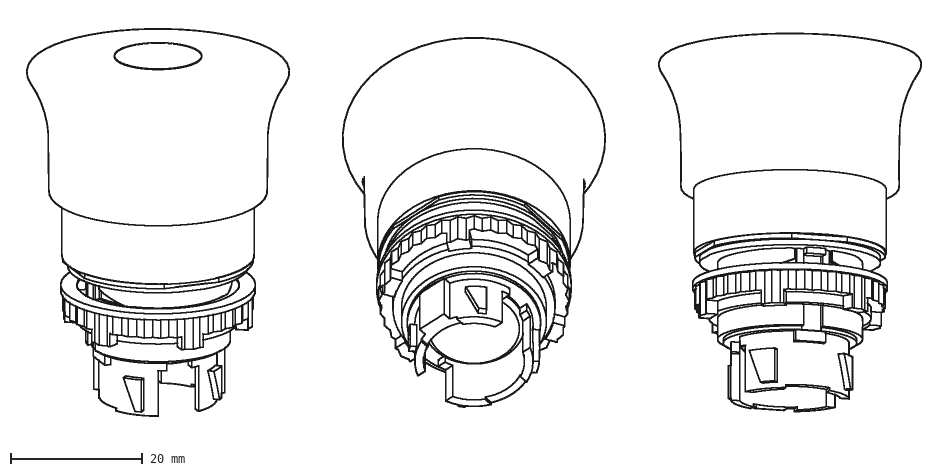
import cadquery as cq
import math


COLLAR_BOTTOM = 8.8
COLLAR_TOP = 9.35
PAD_BOTTOM = 12.05
HUB_BOTTOM = 12.55
TEETH_BOTTOM = 14.15
RIM_BOTTOM = 17.2
HUB_TOP = 17.9
RIM_TOP = 18.15
NECK_TOP = 21.2
GASKET_TOP = 22.05
FLANGE_TOP = 22.8
CAP_BOTTOM = 32.65
TOTAL_HEIGHT = 54.85

CAP_RADIUS = 20.0
WIDEST_LEVEL = 51.9
RIM_SHOULDER = (19.75, 52.6)
DOME_SPHERE_RADIUS = 98.75
DOME_EDGE_RADIUS = 19.2
DISC_RADIUS = 6.65
DISC_STEP = 0.1
DISC_RECESS_LEVEL = 53.55
FLARE_TOP = (19.8, 51.45)
FLARE_MIDDLE = (17.8, 47.4)
FLARE_BOTTOM = (16.75, 42.25)
SKIRT_BOTTOM_RADIUS = 16.6
SKIRT_FILLET = 0.5

SLEEVE_RADIUS = 14.65
FLANGE_RADIUS = 14.5
FLANGE_FLAT_DISTANCE = 13.75
GASKET_RADIUS = 13.75
GASKET_FLAT_DISTANCE = 13.6
GASKET_TAB_REACH = 12.2
GASKET_TAB_BOTTOM = 20.25
SPIGOT_RADIUS = 10.4

NECK_RADIUS = 11.05
COLLAR_RADIUS = 10.15
KEYWAY_HALF_WIDTH = 1.55
KEYWAY_FLOOR = 10.0
KEY_BLOCK_HALF_WIDTH = 2.65
CAM_RADIUS = 11.3
CAM_SINK = 0.05
CAM_START = 3.0
CAM_LOW_CORNER = 19.55
CAM_SLOPE = 0.36
CAM_CREST_ANGLE = 41.0
CAM_FADE_ANGLE = 60.0
RELIEF_RADIUS = 10.65
LEG_RADIUS = 9.0
BORE_RADIUS = 7.7
LEG_WALL_MIDDLE = (BORE_RADIUS + LEG_RADIUS) / 2
BORE_TOP = 7.6
PLUG_CHAMFER = 0.75
LEG_GAP_HALF_WIDTH = 3.3
LEG_GAP_TOP = 7.25
SLIT_HALF_WIDTH = 2.05
FOOT_NOTCH_HALF_WIDTH = 3.5
FOOT_NOTCH_HEIGHT = 0.45
RIB_HALF_WIDTH = 2.4
RIB_REACH = 10.0
FRONT_TAB_REACH = 9.65
FRONT_TAB_BOTTOM = 7.15
LUG_BOTTOM = 0.9
LUG_TOP = 6.0
LUG_RADIUS = 10.0
LUGS = [
    (45, 1.5, 1.5),
    (135, 2.15, 1.05),
    (225, 2.15, 2.15),
    (315, 1.5, 1.5),
]
LUG_SLANT = 2.0

HUB_RADIUS = 12.35
HUB_NOTCH_DEPTH = 1.1
RIM_RADIUS = 14.8
TOOTH_TIP_RADIUS = 14.5
TOOTH_ROOT_RADIUS = 14.05
TOOTH_COUNT = 36
PAD_COUNT = 6
PAD_HALF_WIDTH = 1.75


def cylinder(radius, bottom, top):
    return cq.Workplane("XY").workplane(offset=bottom).circle(radius).extrude(top - bottom)


def block(x_range, y_range, z_range):
    lengths = [high - low for low, high in (x_range, y_range, z_range)]
    corner = (x_range[0], y_range[0], z_range[0])
    return cq.Workplane("XY").box(*lengths, centered=False).translate(corner)


def polar(radius, angle):
    """Point at an angle in degrees from the X axis."""
    return radius * math.cos(math.radians(angle)), radius * math.sin(math.radians(angle))


def dome_level(apex, radius):
    """Height of a dome of the cap's curvature at a distance from the axis."""
    return apex - DOME_SPHERE_RADIUS + math.sqrt(DOME_SPHERE_RADIUS ** 2 - radius ** 2)


def make_disc():
    edge_level = dome_level(TOTAL_HEIGHT, DISC_RADIUS)
    middle = (DISC_RADIUS / 2, dome_level(TOTAL_HEIGHT, DISC_RADIUS / 2))
    profile = (
        cq.Workplane("XZ")
        .moveTo(0, DISC_RECESS_LEVEL)
        .lineTo(DISC_RADIUS, DISC_RECESS_LEVEL)
        .lineTo(DISC_RADIUS, edge_level)
        .threePointArc(middle, (0, TOTAL_HEIGHT))
        .close()
    )
    return profile.revolve()


def make_cap():
    apex = TOTAL_HEIGHT - DISC_STEP
    dome_edge = (DOME_EDGE_RADIUS, dome_level(apex, DOME_EDGE_RADIUS))
    dome_middle = (DOME_EDGE_RADIUS / 2, dome_level(apex, DOME_EDGE_RADIUS / 2))
    profile = (
        cq.Workplane("XZ")
        .moveTo(0, CAP_BOTTOM)
        .lineTo(SKIRT_BOTTOM_RADIUS, CAP_BOTTOM)
        .lineTo(*FLARE_BOTTOM)
        .threePointArc(FLARE_MIDDLE, FLARE_TOP)
        .lineTo(CAP_RADIUS, WIDEST_LEVEL)
        .threePointArc(RIM_SHOULDER, dome_edge)
        .threePointArc(dome_middle, (0, apex))
        .close()
    )
    cap = profile.revolve().faces("<Z").edges().fillet(SKIRT_FILLET)
    return cap.cut(cylinder(DISC_RADIUS, DISC_RECESS_LEVEL, TOTAL_HEIGHT))


def make_sleeve():
    return cylinder(SLEEVE_RADIUS, FLANGE_TOP, CAP_BOTTOM)


def make_flange():
    """Round plate with four flats."""
    across = (-FLANGE_FLAT_DISTANCE, FLANGE_FLAT_DISTANCE)
    square = block(across, across, (GASKET_TOP, FLANGE_TOP))
    return cylinder(FLANGE_RADIUS, GASKET_TOP, FLANGE_TOP).intersect(square)


def make_gasket():
    """Washer with two flats and a locating tab that hangs in front of the keyway."""
    across_flats = (-GASKET_FLAT_DISTANCE, GASKET_FLAT_DISTANCE)
    full_depth = (-GASKET_RADIUS, GASKET_RADIUS)
    washer = cylinder(GASKET_RADIUS, NECK_TOP, GASKET_TOP)
    washer = washer.intersect(block(across_flats, full_depth, (NECK_TOP, GASKET_TOP)))
    washer = washer.cut(cylinder(SPIGOT_RADIUS, NECK_TOP, GASKET_TOP))
    tab = block(
        (-KEYWAY_HALF_WIDTH, KEYWAY_HALF_WIDTH),
        (-GASKET_TAB_REACH, -SPIGOT_RADIUS),
        (GASKET_TAB_BOTTOM, GASKET_TOP),
    )
    return washer.union(tab)


def make_cam():
    """Raised ramp on the neck, in the +X, -Y quarter; its underside slopes down away from the key."""
    crest = polar(CAM_RADIUS, CAM_CREST_ANGLE - 90)
    fade_radius = NECK_RADIUS - CAM_SINK
    fade = polar(fade_radius, CAM_FADE_ANGLE - 90)
    fade_middle = polar((CAM_RADIUS + fade_radius) / 2, (CAM_CREST_ANGLE + CAM_FADE_ANGLE) / 2 - 90)
    start_angle = math.degrees(math.asin(CAM_START / CAM_RADIUS))
    start = polar(CAM_RADIUS, start_angle - 90)
    middle = polar(CAM_RADIUS, (start_angle + CAM_CREST_ANGLE) / 2 - 90)
    plan = (
        cq.Workplane("XY")
        .workplane(offset=HUB_TOP)
        .moveTo(CAM_START, -RELIEF_RADIUS / 2)
        .lineTo(*start)
        .threePointArc(middle, crest)
        .threePointArc(fade_middle, fade)
        .close()
        .extrude(NECK_TOP - HUB_TOP)
    )
    return plan.cut(make_relief_prism())


def make_relief_prism():
    """Space beside the key block and under the cam's sloping underside, on the -Y side."""
    end = CAM_START + (CAM_LOW_CORNER - HUB_TOP) / CAM_SLOPE
    outline = [
        (KEY_BLOCK_HALF_WIDTH, NECK_TOP),
        (CAM_START, NECK_TOP),
        (CAM_START, CAM_LOW_CORNER),
        (end, HUB_TOP),
        (KEY_BLOCK_HALF_WIDTH, HUB_TOP),
    ]
    return cq.Workplane("XZ").polyline(outline).close().extrude(RIM_RADIUS)


def make_neck():
    neck = cylinder(NECK_RADIUS, COLLAR_TOP, NECK_TOP)
    relief = make_relief_prism().cut(cylinder(RELIEF_RADIUS, HUB_TOP, NECK_TOP))
    cam = make_cam()
    for feature_angle in (0, 180):
        for mirrored in (False, True):
            one_cam = cam.mirror("YZ") if mirrored else cam
            one_relief = relief.mirror("YZ") if mirrored else relief
            neck = neck.union(one_cam.rotate((0, 0, 0), (0, 0, 1), feature_angle))
            neck = neck.cut(one_relief.rotate((0, 0, 0), (0, 0, 1), feature_angle))
    return neck.union(cylinder(SPIGOT_RADIUS, NECK_TOP, GASKET_TOP))


def make_lug(angle, slant_side, square_side):
    """Snap lug on a leg; its sides lie at the given offsets from the radial line at the angle."""
    outline = [
        (-slant_side, LUG_TOP),
        (square_side, LUG_TOP),
        (square_side, LUG_BOTTOM),
        (LUG_SLANT - slant_side, LUG_BOTTOM),
    ]
    prism = cq.Workplane("XZ").polyline(outline).close().extrude(LUG_RADIUS)
    prism = prism.intersect(cylinder(LUG_RADIUS, LUG_BOTTOM, LUG_TOP))
    prism = prism.cut(cylinder(LEG_WALL_MIDDLE, LUG_BOTTOM, LUG_TOP))
    return prism.rotate((0, 0, 0), (0, 0, 1), angle + 90)


def make_leg_bore():
    """Space between the legs; its closed end has a conical groove round the edge."""
    plug = cylinder(BORE_RADIUS, BORE_TOP, COLLAR_BOTTOM).faces("<Z").chamfer(PLUG_CHAMFER)
    return cylinder(BORE_RADIUS, 0, COLLAR_BOTTOM).cut(plug)


def make_legs():
    """Two curved legs left by a bored cylinder slotted along X."""
    legs = cylinder(LEG_RADIUS, 0, COLLAR_BOTTOM).cut(make_leg_bore())
    rib_width = (-RIB_HALF_WIDTH, RIB_HALF_WIDTH)
    legs = legs.union(block(rib_width, (LEG_WALL_MIDDLE, RIB_REACH), (FOOT_NOTCH_HEIGHT, COLLAR_BOTTOM)))
    front_tab_depth = (-FRONT_TAB_REACH, -LEG_WALL_MIDDLE)
    legs = legs.union(block(rib_width, front_tab_depth, (FRONT_TAB_BOTTOM, COLLAR_BOTTOM)))

    across = (-LUG_RADIUS, LUG_RADIUS)
    gap = (-LEG_GAP_HALF_WIDTH, LEG_GAP_HALF_WIDTH)
    legs = legs.cut(block(across, gap, (0, LEG_GAP_TOP)))
    slit = block(across, (-SLIT_HALF_WIDTH, SLIT_HALF_WIDTH), (0, COLLAR_BOTTOM))
    legs = legs.cut(slit.cut(cylinder(BORE_RADIUS, 0, COLLAR_BOTTOM)))
    notch = (-FOOT_NOTCH_HALF_WIDTH, FOOT_NOTCH_HALF_WIDTH)
    legs = legs.cut(block(notch, across, (0, FOOT_NOTCH_HEIGHT)))

    for angle, slant_side, square_side in LUGS:
        legs = legs.union(make_lug(angle, slant_side, square_side))
    return legs


def make_core():
    core = make_neck().union(cylinder(COLLAR_RADIUS, COLLAR_BOTTOM, COLLAR_TOP)).union(make_legs())
    keyway = block(
        (-KEYWAY_HALF_WIDTH, KEYWAY_HALF_WIDTH),
        (-CAM_RADIUS, -KEYWAY_FLOOR),
        (COLLAR_BOTTOM, NECK_TOP),
    )
    return core.cut(keyway)


def make_hub():
    hub = cylinder(HUB_RADIUS, HUB_BOTTOM, HUB_TOP).cut(cylinder(NECK_RADIUS, HUB_BOTTOM, HUB_TOP))
    notch = block(
        (-KEY_BLOCK_HALF_WIDTH, KEY_BLOCK_HALF_WIDTH),
        (-HUB_RADIUS, 0),
        (HUB_TOP - HUB_NOTCH_DEPTH, HUB_TOP),
    )
    return hub.cut(notch)


def make_nut():
    """Knurled ring nut: plain rim, triangular teeth and hanging pads."""
    pitch = 360 / TOOTH_COUNT
    outline = []
    for tooth in range(TOOTH_COUNT):
        outline.append(polar(TOOTH_TIP_RADIUS, tooth * pitch))
        outline.append(polar(TOOTH_ROOT_RADIUS, (tooth + 0.5) * pitch))
    toothed = (
        cq.Workplane("XY")
        .workplane(offset=PAD_BOTTOM)
        .polyline(outline)
        .close()
        .extrude(RIM_BOTTOM - PAD_BOTTOM)
    )
    kept = cylinder(RIM_RADIUS, TEETH_BOTTOM, RIM_BOTTOM)
    pad = block((0, RIM_RADIUS), (-PAD_HALF_WIDTH, PAD_HALF_WIDTH), (PAD_BOTTOM, TEETH_BOTTOM))
    for index in range(PAD_COUNT):
        kept = kept.union(pad.rotate((0, 0, 0), (0, 0, 1), index * 360 / PAD_COUNT))
    nut = toothed.intersect(kept).union(cylinder(RIM_RADIUS, RIM_BOTTOM, RIM_TOP))
    return nut.cut(cylinder(HUB_RADIUS, PAD_BOTTOM, RIM_TOP))


cap = make_cap()
disc = make_disc()
sleeve = make_sleeve()
flange = make_flange()
gasket = make_gasket()
core = make_core()
hub = make_hub()
nut = make_nut()

bodies = [cap, disc, sleeve, flange, gasket, core, hub, nut]
result = cq.Compound.makeCompound([body.solids().val() for body in bodies])